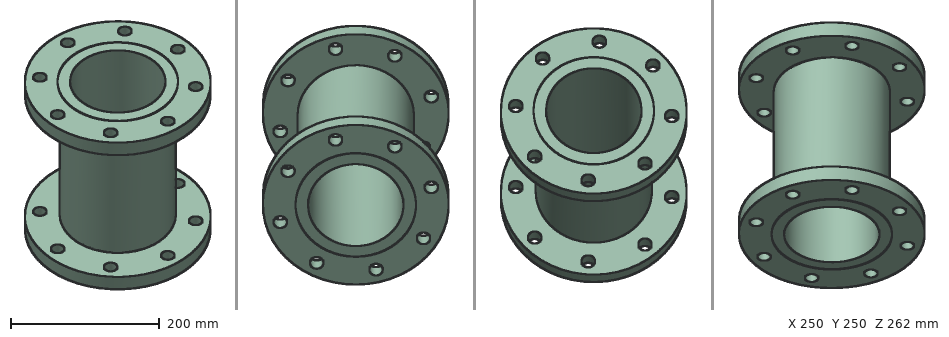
import cadquery as cq

length = 262.0
flange_diameter = 250.0
flange_thickness = 22.3
face_diameter = 162.0
face_height = 0.8
tube_diameter = 156.5
bore_diameter = 128.0
tube_end_radius = 4.0

bolt_count = 8
bolt_circle_diameter = 210.0
bolt_hole_diameter = 18.0

bolt_pitch_angle = 360 / bolt_count
tube_length = length - 2 * (face_height + flange_thickness)


def disc(diameter, bottom, height):
    """Solid cylinder about the Z axis, standing on the height `bottom`."""
    return cq.Workplane("XY", origin=(0, 0, bottom)).circle(diameter / 2).extrude(height)


def lower_flange():
    """Flange with its raised sealing face at the bottom."""
    face = disc(face_diameter, -length / 2, face_height)
    plate = disc(flange_diameter, -length / 2 + face_height, flange_thickness)
    bolt_holes = (
        cq.Workplane("XY", origin=(0, 0, -length / 2))
        .polarArray(bolt_circle_diameter / 2, bolt_pitch_angle / 2, 360, bolt_count)
        .circle(bolt_hole_diameter / 2)
        .extrude(face_height + flange_thickness)
    )
    return face.union(plate).cut(bolt_holes)


def tube():
    """Tube between the flanges, with both ends rounded where they meet the flanges."""
    body = disc(tube_diameter, -tube_length / 2, tube_length)
    return body.edges().fillet(tube_end_radius)


flange = lower_flange()
bore = disc(bore_diameter, -length / 2, length)
result = tube().union(flange).union(flange.mirror("XY")).cut(bore)